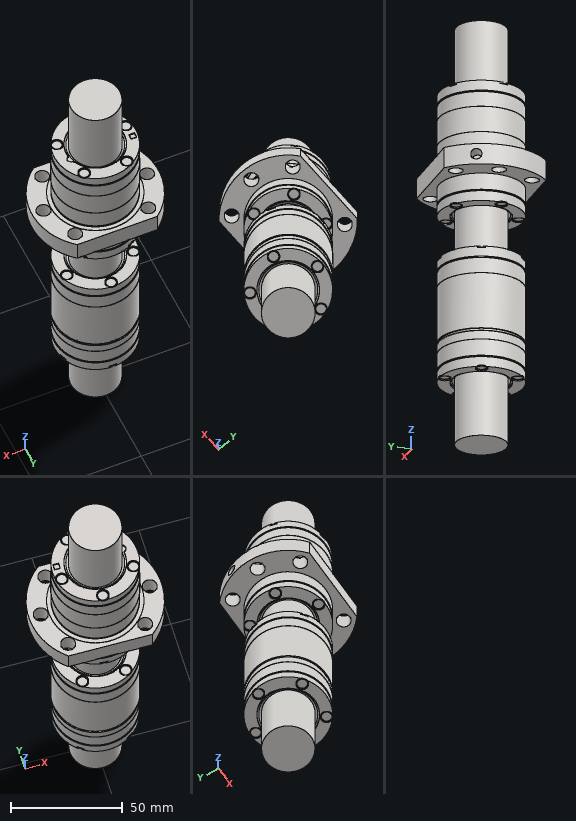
import cadquery as cq
import math

SHAFT_LENGTH = 200.0
SHAFT_RADIUS = 12.0

NUT_LENGTH = 58.0
NUT_RADIUS = 20.0
BAND_STEP = 0.1
END_RADIUS = NUT_RADIUS - BAND_STEP
CAP_LENGTH = 4.8
GROOVE_WIDTH = 0.5
GROOVE_DEPTH = 0.2
GROOVE_RADIUS = END_RADIUS - GROOVE_DEPTH

MOUTH_RADIUS = 14.0
MOUTH_DEPTH = 0.8
FUNNEL_RADIUS = 13.2
FUNNEL_DEPTH = 1.0

RECESS_COUNT = 5
RECESS_CIRCLE_RADIUS = 17.2
RECESS_RADIUS = 2.8
RECESS_DEPTH = 0.5
SCREW_HEAD_RADIUS = 2.5
SCREW_HEAD_HEIGHT = 0.2

UPPER_NUT_BASE = 110.0
UPPER_BAND_BASE = 143.2
UPPER_BAND_TOP = 155.5
UPPER_RECESS_ANGLE = 49.0
FLANGE_BASE = 123.2
FLANGE_THICKNESS = 9.8
FLANGE_RADIUS = 31.0
FLANGE_WIDTH = 48.0
FLANGE_RECESS_RADIUS = 21.8
FLANGE_RECESS_DEPTH = 0.2
BOLT_CIRCLE_RADIUS = 25.5
BOLT_HOLE_DIAMETER = 6.5
BOLT_ANGLES = (0, 45, 135, 180, 225, 315)
OIL_HOLE_DIAMETER = 5.0
OIL_HOLE_DEPTH = 8.0
OIL_HOLE_ANGLE = 157.5

POCKET_SIZE = 2.5
POCKET_DEPTH = 0.5
POCKET_X = -17.2
POCKET_Y = 2.8
NOTCH_RADIUS = 1.8
NOTCH_CIRCLE_RADIUS = 13.8
NOTCH_ANGLE = 14.0

LOWER_NUT_BASE = 30.0
LOWER_BAND_BASE = 43.2
LOWER_BAND_TOP = 75.2
LOWER_RECESS_ANGLE = 90.0
JOINT_GROOVE_BASE = 47.5
JOINT_GROOVE_WIDTH = 1.2
JOINT_GROOVE_RADIUS = 19.5


def cylinder(radius, base, height):
    return cq.Workplane("XY").workplane(offset=base).circle(radius).extrude(height)


def ring(outer_radius, inner_radius, base, height):
    return cylinder(outer_radius, base, height).cut(cylinder(inner_radius, base, height))


def polar_points(radius, angles):
    return [
        (radius * math.cos(math.radians(a)), radius * math.sin(math.radians(a)))
        for a in angles
    ]


def bore_mouth(face, inward):
    """Counterbore and funnel leading from an end face down to the shaft."""
    funnel_face = face + inward * MOUTH_DEPTH
    funnel = (
        cq.Workplane("XY").workplane(offset=funnel_face).circle(FUNNEL_RADIUS)
        .workplane(offset=inward * FUNNEL_DEPTH).circle(SHAFT_RADIUS).loft()
    )
    return cylinder(MOUTH_RADIUS, face, inward * MOUTH_DEPTH).union(funnel)


def screw_recesses(face, inward, first_angle):
    """Ring of round recesses, each leaving a low screw head standing on its floor."""
    angles = [first_angle + 360 / RECESS_COUNT * i for i in range(RECESS_COUNT)]
    points = polar_points(RECESS_CIRCLE_RADIUS, angles)
    recesses = (
        cq.Workplane("XY").workplane(offset=face)
        .pushPoints(points).circle(RECESS_RADIUS).extrude(inward * RECESS_DEPTH)
    )
    screw_heads = (
        cq.Workplane("XY").workplane(offset=face + inward * RECESS_DEPTH)
        .pushPoints(points).circle(SCREW_HEAD_RADIUS).extrude(-inward * SCREW_HEAD_HEIGHT)
    )
    return recesses.cut(screw_heads)


def make_nut_barrel(base, band_base, band_top, first_angle):
    """Plain nut with a slightly raised band, a groove beside each end cap and a stepped bore."""
    top = base + NUT_LENGTH
    barrel = cylinder(END_RADIUS, base, NUT_LENGTH)
    barrel = barrel.union(cylinder(NUT_RADIUS, band_base, band_top - band_base))
    for groove_base in (base + CAP_LENGTH, top - CAP_LENGTH - GROOVE_WIDTH):
        barrel = barrel.cut(ring(NUT_RADIUS, GROOVE_RADIUS, groove_base, GROOVE_WIDTH))
    barrel = barrel.cut(cylinder(SHAFT_RADIUS, base, NUT_LENGTH))
    for face, inward in ((base, 1), (top, -1)):
        barrel = barrel.cut(bore_mouth(face, inward))
        barrel = barrel.cut(screw_recesses(face, inward, first_angle))
    return barrel


def make_flange():
    """Round flange with two flats, six bolt holes and a radial oil hole."""
    flange = ring(FLANGE_RADIUS, SHAFT_RADIUS, FLANGE_BASE, FLANGE_THICKNESS)
    flats = (
        cq.Workplane("XY").workplane(offset=FLANGE_BASE)
        .rect(2 * FLANGE_RADIUS, FLANGE_WIDTH).extrude(FLANGE_THICKNESS)
    )
    bolt_holes = (
        cq.Workplane("XY").workplane(offset=FLANGE_BASE)
        .pushPoints(polar_points(BOLT_CIRCLE_RADIUS, BOLT_ANGLES))
        .circle(BOLT_HOLE_DIAMETER / 2).extrude(FLANGE_THICKNESS)
    )
    oil_hole = (
        cq.Workplane("YZ").workplane(offset=FLANGE_RADIUS - OIL_HOLE_DEPTH)
        .center(0, FLANGE_BASE + FLANGE_THICKNESS / 2)
        .circle(OIL_HOLE_DIAMETER / 2).extrude(OIL_HOLE_DEPTH)
        .rotate((0, 0, 0), (0, 0, 1), OIL_HOLE_ANGLE)
    )
    return flange.intersect(flats).cut(bolt_holes).cut(oil_hole)


def make_upper_nut():
    top = UPPER_NUT_BASE + NUT_LENGTH
    flange_top = FLANGE_BASE + FLANGE_THICKNESS
    nut = make_nut_barrel(UPPER_NUT_BASE, UPPER_BAND_BASE, UPPER_BAND_TOP, UPPER_RECESS_ANGLE)
    nut = nut.union(make_flange())
    nut = nut.cut(ring(NUT_RADIUS, GROOVE_RADIUS, flange_top, GROOVE_WIDTH))
    recess_floor = flange_top - FLANGE_RECESS_DEPTH
    nut = nut.cut(ring(FLANGE_RECESS_RADIUS, GROOVE_RADIUS, recess_floor, FLANGE_RECESS_DEPTH))
    pocket = (
        cq.Workplane("XY").workplane(offset=top).center(POCKET_X, POCKET_Y)
        .rect(POCKET_SIZE, POCKET_SIZE).extrude(-POCKET_DEPTH)
    )
    notch = (
        cq.Workplane("XY").workplane(offset=top)
        .pushPoints(polar_points(NOTCH_CIRCLE_RADIUS, [NOTCH_ANGLE]))
        .circle(NOTCH_RADIUS).extrude(-MOUTH_DEPTH)
    )
    return nut.cut(pocket).cut(notch)


def make_lower_nut():
    nut = make_nut_barrel(LOWER_NUT_BASE, LOWER_BAND_BASE, LOWER_BAND_TOP, LOWER_RECESS_ANGLE)
    return nut.cut(ring(NUT_RADIUS, JOINT_GROOVE_RADIUS, JOINT_GROOVE_BASE, JOINT_GROOVE_WIDTH))


shaft = cylinder(SHAFT_RADIUS, 0, SHAFT_LENGTH)
upper_nut = make_upper_nut()
lower_nut = make_lower_nut()

result = cq.Compound.makeCompound([shaft.val(), upper_nut.val(), lower_nut.val()])